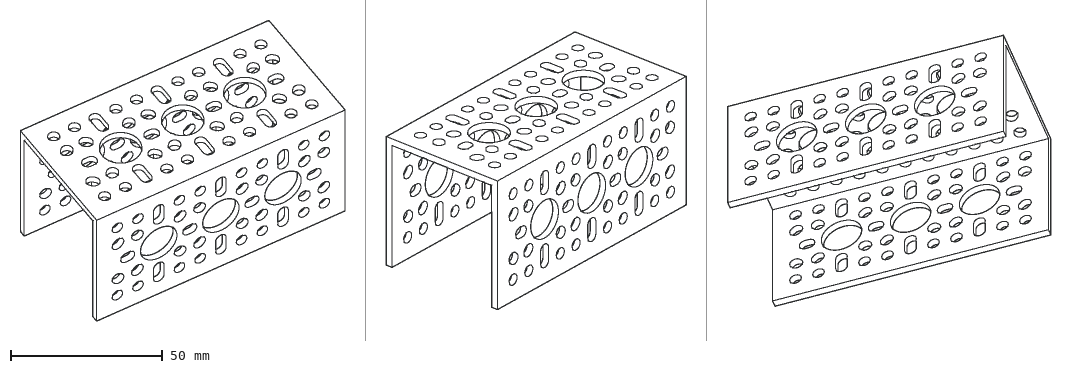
import cadquery as cq
import math

length = 96.0
width = 48.0
height = 48.0
wall = 2.5

pitch = length / 4
hole_spacing = pitch / 3
hole_diameter = hole_spacing / 2
bore_diameter = 14.0
outer_row = 2 * hole_spacing

small_circle_radius = hole_spacing * math.sqrt(2)
large_circle_radius = pitch / 2
diagonal_slot_radius = (small_circle_radius + large_circle_radius) / 2
diagonal_slot_offset = diagonal_slot_radius / math.sqrt(2)
long_slot_offset = (small_circle_radius + outer_row) / 2

diagonal_slot_length = large_circle_radius - small_circle_radius + hole_diameter
long_slot_length = outer_row - small_circle_radius + hole_diameter
short_slot_length = pitch - 2 * small_circle_radius + hole_diameter

bore_positions = [-pitch, 0, pitch]
cell_positions = [-1.5 * pitch, -0.5 * pitch, 0.5 * pitch, 1.5 * pitch]
sides = (-1, 1)


def make_channel():
    """Square-cornered U channel."""
    outer = cq.Workplane("XY").box(width, length, height)
    inside = cq.Workplane("XY").box(width - 2 * wall, length, height).translate((0, 0, -wall))
    return outer.cut(inside)


def cut_pattern(body, plane):
    """Cut the hole pattern straight through the body; local X of the plane runs along the channel."""

    def cut_holes(target, points, diameter):
        sketch = cq.Workplane(plane).pushPoints(points).circle(diameter / 2)
        return target.cut(sketch.extrude(width, both=True))

    def cut_slots(target, points, slot_length, angle):
        sketch = cq.Workplane(plane).pushPoints(points).slot2D(slot_length, hole_diameter, angle)
        return target.cut(sketch.extrude(width, both=True))

    body = cut_holes(body, [(y, 0) for y in bore_positions], bore_diameter)
    long_slots = [(y, side * long_slot_offset) for y in bore_positions for side in sides]
    body = cut_slots(body, long_slots, long_slot_length, 90)

    body = cut_slots(body, [(y, 0) for y in cell_positions], short_slot_length, 0)

    round_holes = [
        (y + end * hole_spacing / 2, side * outer_row)
        for y in cell_positions
        for end in sides
        for side in sides
    ]
    body = cut_holes(body, round_holes, hole_diameter)

    end_offset = pitch / 2 - diagonal_slot_offset
    for end in sides:
        for side in sides:
            points = [(y + end * end_offset, side * diagonal_slot_offset) for y in cell_positions]
            body = cut_slots(body, points, diagonal_slot_length, -45 * end * side)
    return body


top_plane = cq.Plane(origin=(0, 0, height / 2), xDir=(0, 1, 0), normal=(0, 0, 1))
side_plane = cq.Plane(origin=(0, 0, 0), xDir=(0, 1, 0), normal=(1, 0, 0))

result = make_channel()
result = cut_pattern(result, top_plane)
result = cut_pattern(result, side_plane)